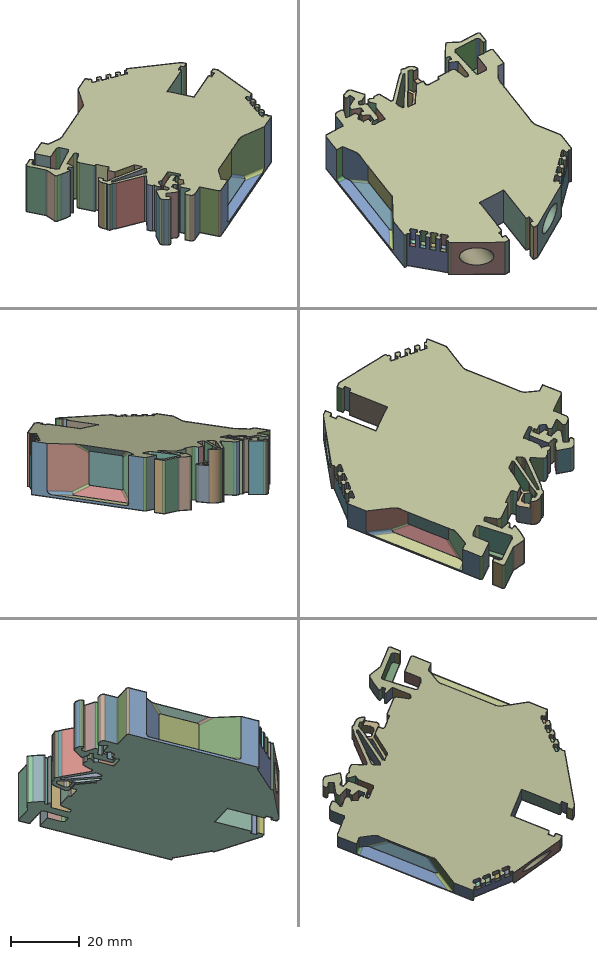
import cadquery as cq
import math

WIDTH = 58.0
HALF_WIDTH = WIDTH / 2
TOP_Y = 60.85
THICKNESS = 15.9
MARGIN = 1.4

SLOT_HALF_WIDTH = 4.2
SLOT_FLOOR_Y = 44.8
NOTCH_HALF_WIDTH = 5.25
NOTCH_TOP_Y = 58.9
NOTCH_BOTTOM_Y = 56.95
NOTCH_LIP_RADIUS = 0.3

CREST_X = 5.7
SHOULDER_X = 19.05
SHOULDER_Y = 52.4

MARKER_TOP_X = 19.35
MARKER_TOP_Y = 51.45
MARKER_BOTTOM_X = 28.0
MARKER_BOTTOM_Y = MARKER_TOP_Y - (MARKER_BOTTOM_X - MARKER_TOP_X)

GROOVE_COUNT = 4
GROOVE_PITCH = 3.05
FIRST_GROOVE_DISTANCE = 1.5
GROOVE_MOUTH_WIDTH = 1.9
GROOVE_NECK_WIDTH = 1.35
GROOVE_WIDE_WIDTH = 2.5
GROOVE_FLOOR_WIDTH = 1.9
GROOVE_NECK_DEPTH = 0.65
GROOVE_WIDE_DEPTH = 1.4
GROOVE_DEPTH = 1.9
GROOVE_HEIGHT = 5.3
GROOVE_MOUTH_DROP = 0.6
GROOVE_MOUTH_EDGE = 0.01

SCREW_DIAMETER = 8.5
SCREW_X = 12.7
SCREW_Z = 8.9

POCKET_DEPTH = 6.3
POCKET_TOP_Y = 36.9
POCKET_BOTTOM_Y = 6.2
POCKET_FLOOR_TOP_Y = 26.4
POCKET_FLOOR_BOTTOM_Y = 13.45
POCKET_LOWER_WALL_SLOPE = math.sqrt(3)
POCKET_LEDGE_Z = 0.85
POCKET_LEDGE_DEPTH = 3.4
POCKET_FLOOR_LOW_Z = 3.8
POCKET_FLOOR_HIGH_Z = 13.95
POCKET_RIM_DEPTH = 4.5
POCKET_RADIUS = 1.0

HOOK_PLATE_HEIGHT = 1.05
SPRING_LOW_HEIGHT = 11.05
SPRING_STEP_Y = -5.6

HOOK_SLOT_TOP_Y = 5.5
HOOK_ARM_Y = -3.25
RAIL_SLOT_TOP_Y = 4.45
STEM_Y = -1.05
STRUT_TOP = (2.9, 3.75)
STRUT_MIDDLE = (-2.35, -3.8)

CORNER_RADIUS = 0.65


def rounded_outline(points):
    """Closed outline through (x, y) or (x, y, radius) corners; a radius rounds its corner."""
    pieces = []
    count = len(points)
    for i in range(count):
        corner = cq.Vector(*points[i][:2])
        if len(points[i]) == 2:
            pieces.append([corner])
            continue
        radius = points[i][2]
        back = (cq.Vector(*points[i - 1][:2]) - corner).normalized()
        ahead = (cq.Vector(*points[(i + 1) % count][:2]) - corner).normalized()
        half_angle = back.getAngle(ahead) / 2
        tangent = radius / math.tan(half_angle)
        bulge = radius / math.sin(half_angle) - radius
        middle = corner + (back + ahead).normalized() * bulge
        pieces.append([corner + back * tangent, middle, corner + ahead * tangent])

    outline = cq.Workplane("XY").moveTo(*pieces[0][-1].toTuple()[:2])
    for piece in pieces[1:] + pieces[:1]:
        outline = outline.lineTo(*piece[0].toTuple()[:2])
        if len(piece) == 3:
            outline = outline.threePointArc(piece[1].toTuple()[:2], piece[2].toTuple()[:2])
    return outline.close()


def prism(points, bottom, top):
    """Upright prism over a rounded outline between two heights."""
    return rounded_outline(points).extrude(top - bottom).translate((0, 0, bottom))


def on_both_sides(solid):
    """The solid together with its mirror image about X = 0."""
    return solid.union(solid.mirror("YZ"))


upper_right = [
    (SLOT_HALF_WIDTH, SLOT_FLOOR_Y),
    (SLOT_HALF_WIDTH, NOTCH_BOTTOM_Y, NOTCH_LIP_RADIUS),
    (NOTCH_HALF_WIDTH, NOTCH_BOTTOM_Y),
    (NOTCH_HALF_WIDTH, NOTCH_TOP_Y),
    (SLOT_HALF_WIDTH, NOTCH_TOP_Y, NOTCH_LIP_RADIUS),
    (SLOT_HALF_WIDTH, TOP_Y),
    (CREST_X, TOP_Y),
    (SHOULDER_X, SHOULDER_Y),
    (19.6, 52.1, 0.2),
    (MARKER_TOP_X, MARKER_TOP_Y),
    (MARKER_BOTTOM_X, MARKER_BOTTOM_Y),
    (28.35, 43.0),
    (HALF_WIDTH, 43.0, 0.3),
]
upper_left = [(-point[0], *point[1:]) for point in reversed(upper_right)]

hook = [
    (-HALF_WIDTH, 0, CORNER_RADIUS),
    (-23.8, 0),
    (-23.8, HOOK_SLOT_TOP_Y, 0.9),
    (-21.1, HOOK_SLOT_TOP_Y, 0.3),
    (-20.7, HOOK_ARM_Y, 0.7),
    (-HALF_WIDTH, HOOK_ARM_Y, 0.3),
    (-HALF_WIDTH, -7.1, CORNER_RADIUS),
    (-22.45, -7.1, 0.7),
    (-18.8, -9.2, 0.65),
    (-16.7, -6.45, 17.7),
    (-15.8, -4.6, 0.15),
    (-17.0, -4.3),
    (-17.0, -3.25),
    (-16.0, -3.25, 0.2),
    (-15.45, -2.7, 0.35),
    (-18.1, -1.55),
]
relief_slot = [
    (-18.1, RAIL_SLOT_TOP_Y, 0.65),
    (-16.8, RAIL_SLOT_TOP_Y, 0.6),
    (-15.7, 0, 1.2),
    (-10.0, 0, 0.3),
    (-10.0, 0.85),
    (-5.75, 0.85, CORNER_RADIUS),
]
spring_gap_body_edge = [(-5.75, STEM_Y), (-3.4, STEM_Y), (0.3, 4.05)]
spring = [
    (0.6, 3.9),
    (-3.25, -1.35),
    (-5.8, -1.35),
    (-5.8, -1.1),
    (-7.85, -1.1, 1.0),
    (-6.3, -7.8, 2.5),
    (-3.55, -7.8),
    (-3.1, -8.0),
    (-2.4, -8.0, 0.35),
    (-2.0, -7.2, 0.35),
    (-0.9, -6.5),
    (5.45, 0),
]
catch_pillar = [
    (6.1, 0),
    (7.65, -4.1, CORNER_RADIUS),
    (9.35, -4.1),
    (9.9, -3.7),
    (10.8, -4.1),
    (11.7, -4.1, 0.35),
    (11.7, -3.25, 0.2),
    (10.35, -1.6),
    (11.05, -0.5),
]
catch = [
    (11.05, RAIL_SLOT_TOP_Y, 0.2),
    (15.15, RAIL_SLOT_TOP_Y, 0.53),
    (15.15, 3.3, 0.53),
    (12.5, 3.3, CORNER_RADIUS),
    (12.5, -3.0),
    (14.6, -3.8, 0.3),
    (14.3, -4.95, 0.3),
    (13.05, -4.8),
    (11.1, -6.0, 0.2),
    (13.95, -10.0, 0.85),
    (15.0, -10.0, 0.85),
    (16.65, -9.3, 0.4),
    (16.85, -7.85, 0.4),
    (15.1, -8.2, 0.3),
    (14.5, -6.65, 0.3),
    (17.5, -4.8, 0.15),
    (17.5, -3.7, 0.15),
    (14.9, -2.7),
    (14.9, -1.35),
    (16.0, -1.35),
    (16.0, -0.2),
    (14.0, 0.85),
    (14.0, 2.75),
]
foot = [
    (15.1, 2.75),
    (15.1, 1.85),
    (16.8, 1.85),
    (17.65, 0.1),
    (16.7, -0.85, 0.2),
    (17.2, -2.0, 0.2),
    (20.55, -2.0, 0.3),
    (19.55, -4.3, 0.15),
    (19.9, -5.2, 0.4),
    (22.6, -5.2, 1.1),
    (22.6, 0, 0.2),
    (HALF_WIDTH, 0, CORNER_RADIUS),
]
rail_side = hook + relief_slot + spring_gap_body_edge + spring + catch_pillar + catch + foot

body = prism(rail_side + upper_right[::-1] + upper_left[::-1], 0, THICKNESS)

hook_clearance = [
    (-22.7, HOOK_SLOT_TOP_Y),
    (-20.1, HOOK_SLOT_TOP_Y, CORNER_RADIUS),
    (-19.2, -5.6, 0.7),
    (-27.7, -5.6, 0.9),
    (-28.0, HOOK_ARM_Y),
    (-22.7, HOOK_ARM_Y),
]
body = body.cut(prism(hook_clearance, HOOK_PLATE_HEIGHT, THICKNESS))

upper_opening = [(2.9, RAIL_SLOT_TOP_Y), STRUT_TOP, (-1.8, -3.1), (-2.55, -1.55, 0.3), (2.1, RAIL_SLOT_TOP_Y)]
lower_opening = [
    (-5.6, -2.1, 0.7),
    (-3.1, -2.1),
    STRUT_MIDDLE,
    (-3.8, -6.45, 0.35),
    (-5.1, -6.45, 0.6),
    (-5.9, -3.4, 0.7),
]
outer_opening = [
    (4.1, 3.75, 0.3),
    (4.6, 3.75, 0.3),
    (5.25, 2.35, 0.35),
    (5.25, 1.4),
    (-2.1, -6.4, 0.3),
    (-2.75, -6.15, 0.3),
]
for opening in (upper_opening, lower_opening, outer_opening):
    body = body.cut(prism(opening, 0, THICKNESS))

spring_step = spring_gap_body_edge + [
    (0.6, RAIL_SLOT_TOP_Y),
    (2.9, RAIL_SLOT_TOP_Y),
    STRUT_TOP,
    STRUT_MIDDLE,
    (-3.3, SPRING_STEP_Y),
    (-8.5, SPRING_STEP_Y),
    (-8.5, STEM_Y),
]
body = body.cut(prism(spring_step, SPRING_LOW_HEIGHT, THICKNESS))


def marker_groove():
    """Groove cutter entering along +Y from a face at Y = 0, open at the top face."""
    floor_z = THICKNESS - GROOVE_HEIGHT
    half_mouth = GROOVE_MOUTH_WIDTH / 2
    half_neck = GROOVE_NECK_WIDTH / 2
    half_wide = GROOVE_WIDE_WIDTH / 2
    half_floor = GROOVE_FLOOR_WIDTH / 2
    inner = [
        (-half_neck, 0),
        (half_neck, 0),
        (half_neck, GROOVE_NECK_DEPTH),
        (half_wide, GROOVE_WIDE_DEPTH),
        (half_floor, GROOVE_DEPTH),
        (-half_floor, GROOVE_DEPTH),
        (-half_wide, GROOVE_WIDE_DEPTH),
        (-half_neck, GROOVE_NECK_DEPTH),
    ]
    mouth = [
        (-half_mouth, 0),
        (half_mouth, 0),
        (half_neck, GROOVE_NECK_DEPTH),
        (-half_neck, GROOVE_NECK_DEPTH),
    ]
    funnel = (
        prism(mouth, floor_z - GROOVE_MOUTH_DROP, THICKNESS)
        .faces(">Y")
        .edges("<Z")
        .chamfer(GROOVE_MOUTH_DROP, GROOVE_NECK_DEPTH - GROOVE_MOUTH_EDGE)
    )
    return prism(inner, floor_z, THICKNESS).union(funnel)


groove = marker_groove().rotate((0, 0, 0), (0, 0, 1), 135)
for i in range(GROOVE_COUNT):
    along = (FIRST_GROOVE_DISTANCE + i * GROOVE_PITCH) / math.sqrt(2)
    placed = groove.translate((MARKER_TOP_X + along, MARKER_TOP_Y - along, 0))
    body = body.cut(on_both_sides(placed))

screw_hole = (
    cq.Workplane("XZ", origin=(SCREW_X, TOP_Y + MARGIN, SCREW_Z))
    .circle(SCREW_DIAMETER / 2)
    .extrude(TOP_Y + MARGIN - SLOT_FLOOR_Y)
)
body = body.cut(on_both_sides(screw_hole))


def side_pocket():
    """Cutter for the +X side pocket: slanted walls, open at the side and top faces."""
    floor_x = HALF_WIDTH - POCKET_DEPTH
    outer_x = HALF_WIDTH + MARGIN
    top_wall_slope = (POCKET_DEPTH - POCKET_RIM_DEPTH) / (THICKNESS - POCKET_FLOOR_HIGH_Z)
    rim_x = HALF_WIDTH - POCKET_RIM_DEPTH + MARGIN * top_wall_slope
    wall_end_x = floor_x + (POCKET_FLOOR_BOTTOM_Y - POCKET_BOTTOM_Y) / POCKET_LOWER_WALL_SLOPE
    upper_wall_slope = (POCKET_TOP_Y - POCKET_FLOOR_TOP_Y) / POCKET_DEPTH
    outer_top_y = POCKET_TOP_Y + MARGIN * upper_wall_slope
    plan = [
        (floor_x, POCKET_FLOOR_TOP_Y),
        (outer_x, outer_top_y),
        (outer_x, POCKET_BOTTOM_Y),
        (wall_end_x, POCKET_BOTTOM_Y),
        (floor_x, POCKET_FLOOR_BOTTOM_Y),
    ]
    section = [
        (outer_x, POCKET_LEDGE_Z),
        (HALF_WIDTH - POCKET_LEDGE_DEPTH, POCKET_LEDGE_Z),
        (floor_x, POCKET_FLOOR_LOW_Z),
        (floor_x, POCKET_FLOOR_HIGH_Z),
        (rim_x, THICKNESS + MARGIN),
        (outer_x, THICKNESS + MARGIN),
    ]
    walls = prism(plan, 0, THICKNESS + MARGIN)
    levels = cq.Workplane("XZ", origin=(0, outer_top_y, 0)).polyline(section).close().extrude(outer_top_y)
    pocket = walls.intersect(levels)
    corners = pocket.edges("not(|X or |Y or |Z)").edges("not(#Z)")
    upper_wall_foot = pocket.faces("<Z").edges(">Y")
    ledge_end = pocket.faces("<Z").edges("<Y")
    return corners.add(upper_wall_foot).add(ledge_end).fillet(POCKET_RADIUS)


body = body.cut(on_both_sides(side_pocket()))

result = body